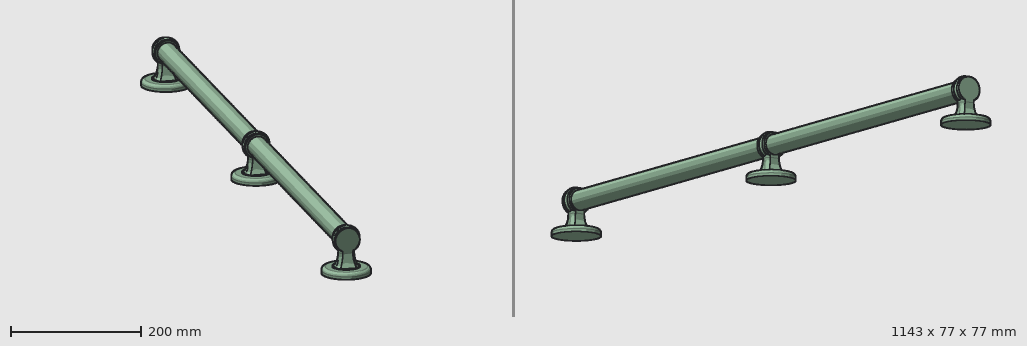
import cadquery as cq

overall_length = 1143
overall_height = 77.0

flange_diameter = 77.0
flange_radius = flange_diameter / 2
flange_thickness = 10.9
flange_fillet = 6.0
post_spacing = overall_length / 2 - flange_radius

collar_radius = 22.0
collar_height = 0.6
collar_top = flange_thickness + collar_height

bead_radius = 22.0
bead_width = 8.0
head_radius = 20.0
head_thickness = 20.0
rail_height = overall_height - bead_radius

neck_top_z = 34
neck_radius = 13.0
neck_half_x = head_thickness / 2
neck_half_y = 13.0
flare_radius = 21.0
flare_half_x = 16.0
flare_half_y = 20.0

rail_radius = 16.0


def make_flange():
    """Wall disc together with its collar."""
    flange = cq.Workplane("XY").circle(flange_radius).extrude(flange_thickness)
    flange = flange.faces(">Z").edges().fillet(flange_fillet)
    collar = cq.Workplane("XY").circle(collar_radius).extrude(collar_top)
    return flange.union(collar)


def half_flare(plane, top_half, bottom_half):
    """Half outline of the neck, open at its axis: straight at the top, curving out to the bottom."""
    return (
        cq.Workplane(plane)
        .lineTo(bottom_half, 0)
        .lineTo(bottom_half, flange_thickness)
        .spline(
            [(top_half, neck_top_z)],
            tangents=[(-1, 1), (0, 1)],
            includeCurrent=True,
        )
        .lineTo(top_half, rail_height)
        .lineTo(0, rail_height)
    )


def make_neck():
    """Round flare intersected with two flared slabs, one limiting X and one limiting Y."""
    round_flare = half_flare("XZ", neck_radius, flare_radius).close().revolve(360, (0, 0), (0, 1))
    slab_depth = 2 * flare_radius
    x_slab = half_flare("XZ", neck_half_x, flare_half_x).mirrorY().extrude(slab_depth)
    x_slab = x_slab.translate((0, flare_radius, 0))
    y_slab = half_flare("YZ", neck_half_y, flare_half_y).mirrorY().extrude(slab_depth)
    y_slab = y_slab.translate((-flare_radius, 0, 0))
    return round_flare.intersect(x_slab).intersect(y_slab)


def make_head():
    """Disc facing along X, revolved about the rail axis."""
    half_head = head_thickness / 2
    half_bead = bead_width / 2
    profile = (
        cq.Workplane("XY")
        .moveTo(-half_head, 0)
        .lineTo(-half_head, head_radius)
        .lineTo(-half_bead, head_radius)
        .threePointArc((0, bead_radius), (half_bead, head_radius))
        .lineTo(half_head, head_radius)
        .lineTo(half_head, 0)
        .close()
    )
    return profile.revolve(360, (0, 0), (1, 0)).translate((0, 0, rail_height))


def make_rail():
    """Round bar between the centers of the two end posts."""
    rail = cq.Workplane("YZ").center(0, rail_height).circle(rail_radius)
    return rail.extrude(post_spacing, both=True)


post = make_flange().union(make_neck()).union(make_head())

result = make_rail()
for x in (-post_spacing, 0, post_spacing):
    result = result.union(post.translate((x, 0, 0)))